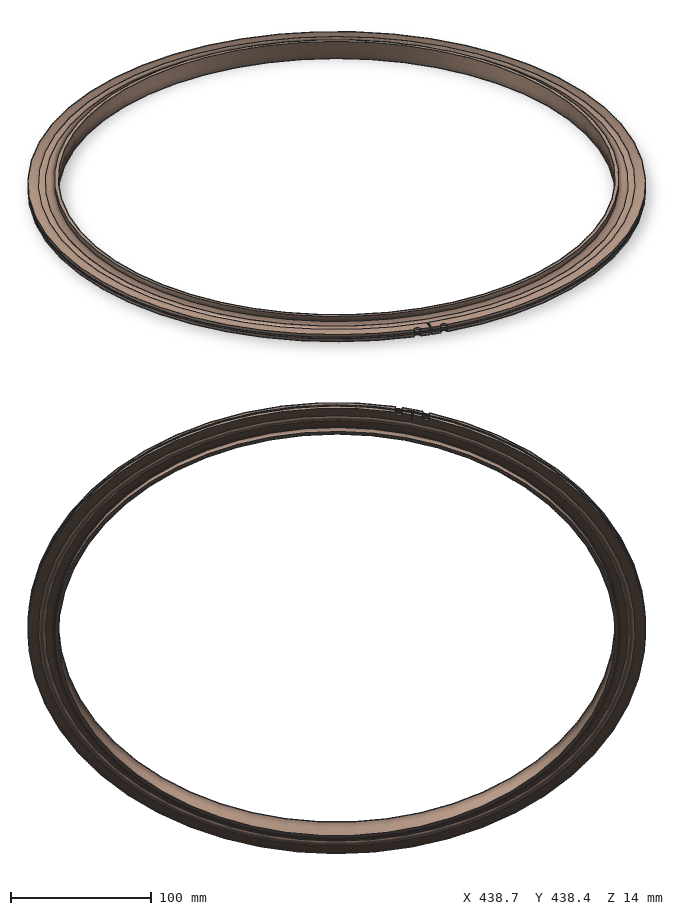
import cadquery as cq
import math

sleeve_inner_radius = 197.6
sleeve_outer_radius = 200.25
sleeve_height = 14.0
flange_outer_radius = 206.9

seal_height = 5.8
outer_ring_inner_radius = 211.75
outer_ring_outer_radius = 219.2

gap_width = 1.2
vent_slot_depth_into_sleeve = 0.4

notch_radius = 2.5
notch_offset = 9.9
notch_center_x = 219.0
notch_depth = 1.6

locking_ring_thickness = 1.2
locking_ring_inner_radius = 215.5
tab_end_x = 219.49
tab_width = 8.6

half_sleeve = sleeve_height / 2
half_seal = seal_height / 2
half_lock = locking_ring_thickness / 2
seal_center_radius = (flange_outer_radius + outer_ring_inner_radius) / 2
half_seal_gap = (outer_ring_inner_radius - flange_outer_radius) / 2
seal_section_radius = math.hypot(half_seal_gap, half_seal)

cut_overrun = 1.0
through_height = sleeve_height + 2 * cut_overrun


def revolve_about_z(profile):
    """Turn a closed radius-height profile into a full ring."""
    return profile.close().revolve(360, (0, 0, 0), (0, 1, 0))


def radial_block(start_x, end_x, width, height):
    """Block along the X axis, centred on the XY plane."""
    block = cq.Workplane("XY").box(end_x - start_x, width, height)
    return block.translate(((start_x + end_x) / 2, 0, 0))


def make_centering_ring():
    """Sleeve and flange in one piece, with a concave seat and a vent slot through the flange."""
    ring = revolve_about_z(
        cq.Workplane("XZ")
        .moveTo(sleeve_inner_radius, -half_sleeve)
        .lineTo(sleeve_outer_radius, -half_sleeve)
        .lineTo(sleeve_outer_radius, -half_seal)
        .lineTo(flange_outer_radius, -half_seal)
        .threePointArc(
            (seal_center_radius - seal_section_radius, 0),
            (flange_outer_radius, half_seal),
        )
        .lineTo(sleeve_outer_radius, half_seal)
        .lineTo(sleeve_outer_radius, half_sleeve)
        .lineTo(sleeve_inner_radius, half_sleeve)
    )
    slot_floor_radius = sleeve_outer_radius - vent_slot_depth_into_sleeve
    slot_start_x = -flange_outer_radius - cut_overrun
    vent_slot = radial_block(slot_start_x, -slot_floor_radius, gap_width, through_height)
    return ring.cut(vent_slot)


def make_o_ring():
    """Round seal that fills the gap between the two concave seats."""
    section = cq.Workplane("XZ").center(seal_center_radius, 0).circle(seal_section_radius)
    return section.revolve(360, (-seal_center_radius, 0, 0), (-seal_center_radius, 1, 0))


def make_outer_ring():
    """Split outer ring with a concave seat, a rim groove and removal notches on both faces."""
    ring = revolve_about_z(
        cq.Workplane("XZ")
        .moveTo(outer_ring_inner_radius, -half_seal)
        .lineTo(outer_ring_outer_radius, -half_seal)
        .lineTo(outer_ring_outer_radius, -half_lock)
        .lineTo(locking_ring_inner_radius, -half_lock)
        .lineTo(locking_ring_inner_radius, half_lock)
        .lineTo(outer_ring_outer_radius, half_lock)
        .lineTo(outer_ring_outer_radius, half_seal)
        .lineTo(outer_ring_inner_radius, half_seal)
        .threePointArc(
            (seal_center_radius + seal_section_radius, 0),
            (outer_ring_inner_radius, -half_seal),
        )
    )
    split_end_x = outer_ring_outer_radius + cut_overrun
    split = radial_block(seal_center_radius, split_end_x, gap_width, through_height)
    ring = ring.cut(split)
    for face in (-1, 1):
        for side in (-1, 1):
            notch = (
                cq.Workplane("XY")
                .workplane(offset=face * (half_seal - notch_depth))
                .center(notch_center_x, side * notch_offset)
                .circle(notch_radius)
                .extrude(face * (notch_depth + cut_overrun))
            )
            ring = ring.cut(notch)
    return ring


def make_locking_ring():
    """Thin ring in the rim groove, with a flat tab standing slightly proud at +X."""
    disc = cq.Workplane("XY").circle(outer_ring_outer_radius).circle(locking_ring_inner_radius)
    ring = disc.extrude(half_lock, both=True)
    tab_start_x = (locking_ring_inner_radius + outer_ring_outer_radius) / 2
    tab = radial_block(tab_start_x, tab_end_x, tab_width, locking_ring_thickness)
    return ring.union(tab)


centering_ring = make_centering_ring()
o_ring = make_o_ring()
outer_ring = make_outer_ring()
locking_ring = make_locking_ring()

result = cq.Compound.makeCompound(
    [centering_ring.val(), o_ring.val(), outer_ring.val(), locking_ring.val()]
)